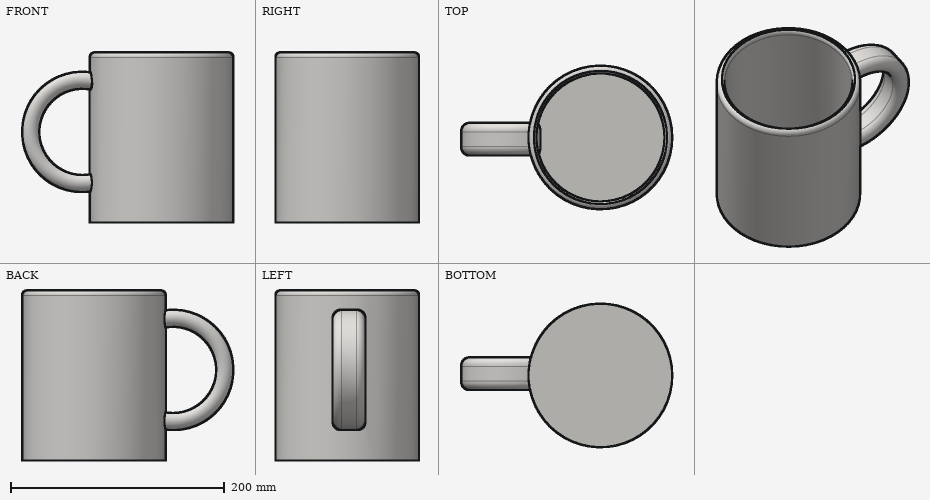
import cadquery as cq
import math

cup_radius = 67.5
cup_height = 160.0
wall = 7.5
floor_thickness = wall
rim_round = 5.0
cavity_radius = cup_radius - wall

handle_reach = 130.79
handle_outer_radius = 56.6
handle_thickness = 16.3
handle_flat_front = -8.5
handle_flat_back = 5.2
handle_side_bulge = 8.65
handle_center_x = handle_outer_radius - handle_reach
handle_center_z = 85.2
upper_overrun = 12.0
lower_end_x = -56.3
lower_end_tilt = 30.0
lower_end_drop = math.sqrt(handle_outer_radius**2 - (lower_end_x - handle_center_x) ** 2)
lower_end_z = handle_center_z - lower_end_drop


def handle_section():
    """Ring section on the -X side of the ring axis: flat inside and outside, rounded sides."""
    outer = -handle_outer_radius
    inner = outer + handle_thickness
    middle = (outer + inner) / 2
    return (
        cq.Workplane("XY", origin=(handle_center_x, 0, handle_center_z))
        .moveTo(outer, handle_flat_front)
        .lineTo(outer, handle_flat_back)
        .threePointArc((middle, handle_flat_back + handle_side_bulge), (inner, handle_flat_back))
        .lineTo(inner, handle_flat_front)
        .threePointArc((middle, handle_flat_front - handle_side_bulge), (outer, handle_flat_front))
        .close()
    )


def lower_end_trim():
    """Block beyond the tilted plane of the lower end face, with the face's tip on that plane."""
    tilt = math.radians(lower_end_tilt)
    face_plane = cq.Plane(
        origin=(lower_end_x, 0, lower_end_z),
        xDir=(0, 1, 0),
        normal=(math.cos(tilt), 0, math.sin(tilt)),
    )
    trim_size = 3 * handle_thickness
    return cq.Workplane(face_plane).rect(trim_size, trim_size).extrude(trim_size)


def make_handle():
    """Ring whose upper end stops in the cup wall and whose lower end passes through it."""
    lower_overrun = lower_end_tilt
    axis_start = (handle_center_x, 0, handle_center_z)
    axis_end = (handle_center_x, 1, handle_center_z)
    ring = (
        handle_section()
        .revolve(lower_overrun + 180 + upper_overrun, (0, 0, 0), (0, 1, 0))
        .rotate(axis_start, axis_end, -(90 + lower_overrun))
    )
    return ring.cut(lower_end_trim())


def make_cup(handle):
    """Hollow cup with a rounded rim, a socket for the upper handle end and an opening for the lower."""
    crest_radius = cup_radius - rim_round
    outer_arc_bottom = cup_height - rim_round
    outer_arc_middle = (
        crest_radius + rim_round * math.cos(math.pi / 4),
        outer_arc_bottom + rim_round * math.sin(math.pi / 4),
    )
    inner_arc_center = cavity_radius + rim_round
    inner_arc_angle = math.acos((inner_arc_center - crest_radius) / rim_round)
    inner_arc_bottom = cup_height - rim_round * math.sin(inner_arc_angle)
    inner_arc_middle = (
        inner_arc_center - rim_round * math.cos(inner_arc_angle / 2),
        inner_arc_bottom + rim_round * math.sin(inner_arc_angle / 2),
    )
    vessel = (
        cq.Workplane("XZ")
        .lineTo(cup_radius, 0)
        .lineTo(cup_radius, outer_arc_bottom)
        .threePointArc(outer_arc_middle, (crest_radius, cup_height))
        .threePointArc(inner_arc_middle, (cavity_radius, inner_arc_bottom))
        .lineTo(cavity_radius, floor_thickness)
        .lineTo(0, floor_thickness)
        .close()
        .revolve(360, (0, 0, 0), (0, 1, 0))
    )
    return vessel.cut(handle)


handle = make_handle()
cup = make_cup(handle)
result = cq.Compound.makeCompound([cup.val(), handle.val()])